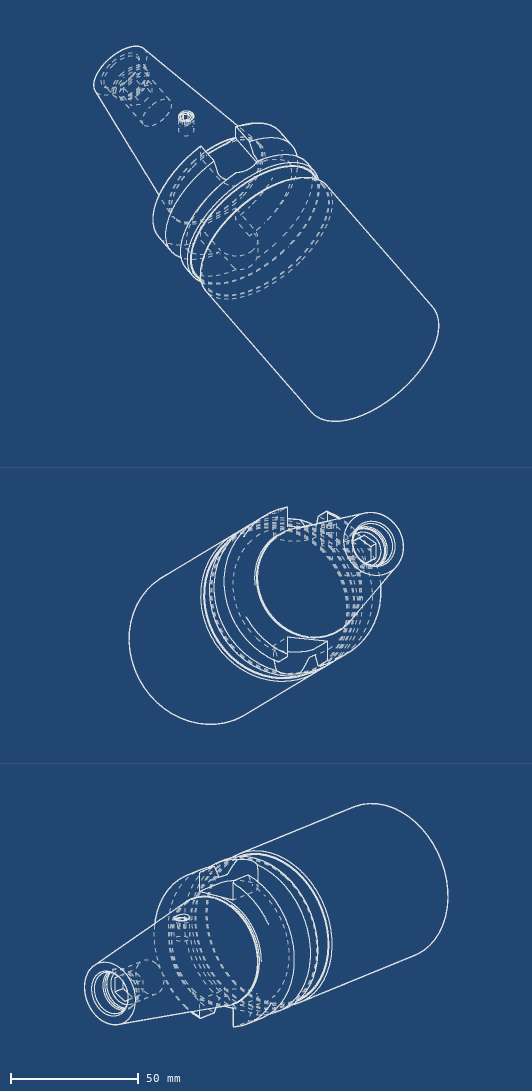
import cadquery as cq
import math

length = 175.4

taper_length = 65.6
taper_large_radius = 22.3
taper_small_radius = taper_large_radius - taper_length * 7 / 48

step_radius = 22.0
step_fillet = 0.5

flange_start = 67.4
flange_end = 92.6
body_radius = 31.48
flange_fillet = 0.9
flange_chamfer = 0.9
groove_center = 81.9
groove_floor_width = 4.2
groove_floor_radius = 26.3
groove_flank_angle = 30.0
groove_fillet = 0.9

neck_radius = 30.2
body_start = 99.8
body_chamfer = 0.9
nose_fillet = 2.0

keyway_width = 16.8
keyway_end = 88.5
keyway_floor_height = 22.5

bore_mouth_radius = 9.1
bore_mouth_depth = 0.9
counterbore_radius = 8.5
counterbore_depth = 6.3
relief_bore_radius = 8.0
relief_bore_start = 7.0
relief_bore_end = 8.2

plug_radius = 7.0
plug_face = 9.5
plug_length = 15.8
plug_hex_width = 10.0
plug_hex_depth = 5.3

set_screw_x = 45.5
set_screw_radius = 3.0
set_screw_top = 18.6
set_screw_length = 8.0
set_screw_chamfer = 0.7
set_screw_hex_width = 3.0
set_screw_hex_depth = 3.5


def hexagon_diameter(width_across_flats):
    """Diameter through the corners of a regular hexagon."""
    return width_across_flats / math.cos(math.radians(30))


def make_blank():
    """The turned outside of the holder."""
    flank_run = (body_radius - groove_floor_radius) * math.tan(math.radians(groove_flank_angle))
    floor_start = groove_center - groove_floor_width / 2
    floor_end = groove_center + groove_floor_width / 2
    profile = (
        cq.Workplane("XZ")
        .moveTo(0, 0)
        .lineTo(0, taper_small_radius)
        .lineTo(taper_length, taper_large_radius)
        .lineTo(taper_length, step_radius)
        .lineTo(flange_start, step_radius)
        .lineTo(flange_start, body_radius)
        .lineTo(floor_start - flank_run, body_radius)
        .lineTo(floor_start, groove_floor_radius)
        .lineTo(floor_end, groove_floor_radius)
        .lineTo(floor_end + flank_run, body_radius)
        .lineTo(flange_end - flange_chamfer, body_radius)
        .lineTo(flange_end, body_radius - flange_chamfer)
        .lineTo(flange_end, neck_radius)
        .lineTo(body_start, neck_radius)
        .lineTo(body_start, body_radius - body_chamfer)
        .lineTo(body_start + body_chamfer, body_radius)
        .lineTo(length, body_radius)
        .lineTo(length, 0)
        .close()
    )
    blank = profile.revolve(360, (0, 0, 0), (1, 0, 0))

    def round_edge(solid, x, radius, fillet):
        margin = 0.02
        selector = cq.selectors.BoxSelector(
            (x - margin, -radius - margin, -radius - margin),
            (x + margin, radius + margin, radius + margin),
            boundingbox=True,
        )
        rim = solid.edges("%CIRCLE").edges(selector).edges(cq.selectors.RadiusNthSelector(-1))
        return rim.fillet(fillet)

    blank = round_edge(blank, flange_start, step_radius, step_fillet)
    blank = round_edge(blank, flange_start, body_radius, flange_fillet)
    blank = round_edge(blank, floor_start, groove_floor_radius, groove_fillet)
    blank = round_edge(blank, floor_end, groove_floor_radius, groove_fillet)
    return round_edge(blank, length, body_radius, nose_fillet)


def make_keyway():
    """Cutter for the upper keyway, open towards the taper."""
    half_width = keyway_width / 2
    arc_center = keyway_end - half_width
    return (
        cq.Workplane("XY")
        .workplane(offset=keyway_floor_height)
        .moveTo(taper_length, -half_width)
        .lineTo(arc_center, -half_width)
        .threePointArc((keyway_end, 0), (arc_center, half_width))
        .lineTo(taper_length, half_width)
        .close()
        .extrude(body_radius - keyway_floor_height + 1.8)
    )


def make_bore():
    """Cutter for the stepped bore, down to the inner end of the plug screw."""
    return (
        cq.Workplane("XZ")
        .moveTo(0, 0)
        .lineTo(0, bore_mouth_radius)
        .lineTo(bore_mouth_depth, counterbore_radius)
        .lineTo(counterbore_depth, counterbore_radius)
        .lineTo(relief_bore_start, relief_bore_radius)
        .lineTo(relief_bore_end, relief_bore_radius)
        .lineTo(plug_face, plug_radius)
        .lineTo(plug_face + plug_length, plug_radius)
        .lineTo(plug_face + plug_length, 0)
        .close()
        .revolve(360, (0, 0, 0), (1, 0, 0))
    )


def make_set_screw_hole():
    """Cutter for the blind hole that holds the set screw."""
    return (
        cq.Workplane("XY", origin=(set_screw_x, 0, set_screw_top - set_screw_length))
        .circle(set_screw_radius)
        .extrude(taper_large_radius)
    )


def make_holder():
    """Blank with its two keyways, its bore and the set screw's hole."""
    keyway = make_keyway()
    opposite_keyway = keyway.rotate((0, 0, 0), (1, 0, 0), 180)
    return make_blank().cut(keyway).cut(opposite_keyway).cut(make_bore()).cut(make_set_screw_hole())


def make_plug_screw():
    """Headless screw that closes the bore, with a hexagon socket facing -X."""
    plug = cq.Workplane("YZ", origin=(plug_face, 0, 0)).circle(plug_radius).extrude(plug_length)
    socket = (
        cq.Workplane("YZ", origin=(plug_face, 0, 0))
        .transformed(rotate=(0, 0, 90))
        .polygon(6, hexagon_diameter(plug_hex_width))
        .extrude(plug_hex_depth)
    )
    return plug.cut(socket)


def make_set_screw():
    """Headless screw in the side of the taper, with a hexagon socket facing up."""
    screw = (
        cq.Workplane("XY", origin=(set_screw_x, 0, set_screw_top))
        .circle(set_screw_radius)
        .extrude(-set_screw_length)
        .faces(">Z")
        .chamfer(set_screw_chamfer)
    )
    socket = (
        cq.Workplane("XY", origin=(set_screw_x, 0, set_screw_top))
        .polygon(6, hexagon_diameter(set_screw_hex_width))
        .extrude(-set_screw_hex_depth)
    )
    return screw.cut(socket)


holder = make_holder()
plug_screw = make_plug_screw()
set_screw = make_set_screw()

result = cq.Compound.makeCompound([holder.val(), plug_screw.val(), set_screw.val()])